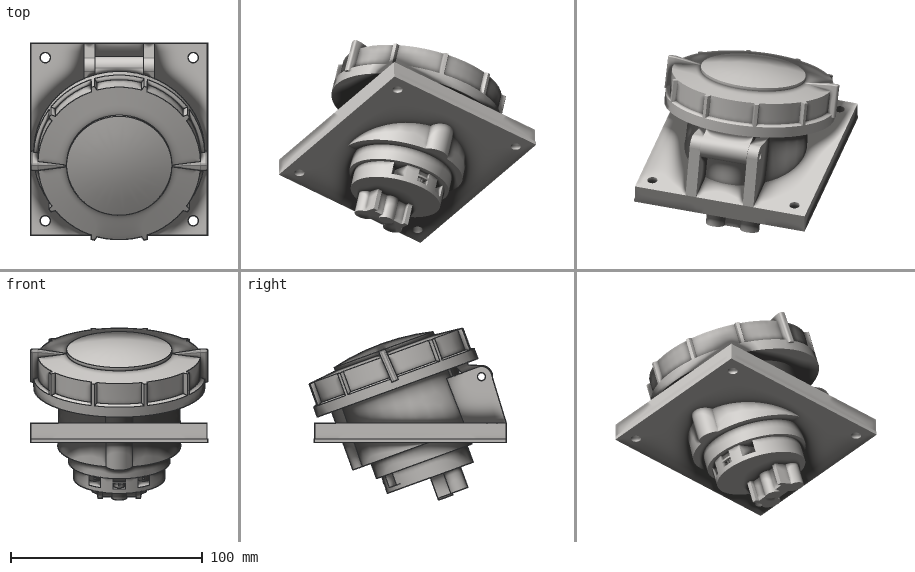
import cadquery as cq
import math


GASKET_WIDTH = 92.4
GASKET_LENGTH = 100.2
GASKET_THICKNESS = 2.0
STACK_HEIGHT = 10.1
PLATE_WIDTH = 91.9
PLATE_LENGTH = 99.9
SCREW_PITCH_X = 77.0
SCREW_PITCH_Y = 85.0
SCREW_HOLE_DIAMETER = 5.2

TILT = 20.0
AXIS_Y = -6.6
AXIS_Z = 28.5

BARREL_TOP_RADIUS = 31.4
BARREL_BOTTOM_RADIUS = 32.1
BARREL_BOTTOM = -32.3
COLLAR_RADIUS = 26.5
COLLAR_BOTTOM = -40.7
INSERT_RADIUS = 23.8
INSERT_BOTTOM = -49.8
KEY_RADIUS = 7.2
KEY_REACH = 36.6
PAD_RADIUS = 32.8
PAD_WIDTH = 29.4
PAD_BOTTOM = -31.4

FLANGE_RADIUS = 44.6
FLANGE_HEIGHT = 5.5
CAP_FOOT_HEIGHT = 6.5
CAP_RADIUS = 42.3
CAP_EDGE_HEIGHT = 17.8
DOME_RADIUS = 27.4
DOME_BASE_HEIGHT = 19.4
DOME_EDGE_HEIGHT = 21.3
DOME_TOP_HEIGHT = 24.5

GRIP_COUNT = 10
GRIP_STEP = 360.0 / GRIP_COUNT
RIB_TIP_WIDTH = 1.7
RIB_ROOT_WIDTH = 3.1
WING_REACH = GASKET_WIDTH / 2
WING_WIDTH = 3.7
WING_TIP_WIDTH = 1.2
WING_BOTTOM = 3.9
WING_TOP = 21.4
WING_ROUNDING = 1.0
RIDGE_ROUNDING = 0.5
WING_LEAN = 3.5

HINGE_Y = 43.0
HINGE_Z = -9.5
HINGE_HOLE_DIAMETER = 4.0
BRACKET_RADIUS = 5.3
BRACKET_INNER_X = 12.6
BRACKET_OUTER_X = 18.4
ARM_RADIUS = 5.9
ARM_SHOULDER_Y = 38.7
ARM_SHOULDER_Z = -1.3
ARM_FRONT_Y = 32.3
ARM_BOTTOM_Z = -11.3

WINDOW_OFFSET = 12.7
WINDOW_WIDTH = 6.2
WINDOW_FLOOR = -47.4
MIDDLE_WINDOW_WIDTH = 6.4
MIDDLE_BAR_TOP = -43.6
MIDDLE_BAR_BOTTOM = -44.5
MIDDLE_RECESS_DEPTH = 2.1
POST_RADIUS = 3.0
POST_GAP = 8.0
MIDDLE_POST_GAP = 1.7
POST_SLOT_WIDTH = 1.0
POST_SLOT_RISE = 1.0

CLAMP_BOTTOM = -61.2
CLAMP_FRONT_X = 11.1
CLAMP_BACK_X = 11.8
LOBE_RADIUS = 5.0
LOBE_X = 9.2
LOBE_Y = 11.7
CLAMP_RECESS_X = 8.7
CLAMP_RECESS_DEPTH = 2.5
STUD_RADIUS = 4.0
STUD_BOTTOM = -62.3


def block(x_min, x_max, y_min, y_max, z_min, z_max):
    """Box between opposite corners."""
    box = cq.Workplane("XY").box(x_max - x_min, y_max - y_min, z_max - z_min, centered=False)
    return box.translate((x_min, y_min, z_min))


def cylinder(radius, z_min, z_max, x=0.0, y=0.0):
    """Upright cylinder."""
    return cq.Workplane("XY").workplane(offset=z_min).center(x, y).circle(radius).extrude(z_max - z_min)


def crosswise(profile_yz, x_min, x_max):
    """Extrude closed YZ wires along X."""
    return profile_yz.extrude(x_max - x_min).translate((x_min, 0, 0))


def tilted(shape):
    """Move a shape from the tilted frame to its place over the plate."""
    return shape.rotate((0, 0, 0), (1, 0, 0), TILT).translate((0, AXIS_Y, AXIS_Z))


def in_tilted_frame(y, z):
    """Tilted-frame coordinates of a point given in the plate frame."""
    angle = math.radians(TILT)
    dy = y - AXIS_Y
    dz = z - AXIS_Z
    return dy * math.cos(angle) + dz * math.sin(angle), dz * math.cos(angle) - dy * math.sin(angle)


def slab(width, length, z_min, z_max):
    """Rectangular layer with four screw holes; all layers share their -X and +Y edges."""
    layer = block(-GASKET_WIDTH / 2, width - GASKET_WIDTH / 2,
                  GASKET_LENGTH / 2 - length, GASKET_LENGTH / 2, z_min, z_max)
    holes = (cq.Workplane("XY").workplane(offset=z_min)
             .rect(SCREW_PITCH_X, SCREW_PITCH_Y, forConstruction=True)
             .vertices().circle(SCREW_HOLE_DIAMETER / 2).extrude(z_max - z_min))
    return layer.cut(holes)


def barrel():
    """Slightly tapered housing with its two steps, the keyway rib at the front and the pad at the rear."""
    body = (cq.Workplane("XZ")
            .moveTo(0, FLANGE_HEIGHT)
            .lineTo(BARREL_TOP_RADIUS, FLANGE_HEIGHT)
            .lineTo(BARREL_TOP_RADIUS, 0)
            .lineTo(BARREL_BOTTOM_RADIUS, BARREL_BOTTOM)
            .lineTo(COLLAR_RADIUS, BARREL_BOTTOM)
            .lineTo(COLLAR_RADIUS, COLLAR_BOTTOM)
            .lineTo(INSERT_RADIUS, COLLAR_BOTTOM)
            .lineTo(INSERT_RADIUS, INSERT_BOTTOM)
            .lineTo(0, INSERT_BOTTOM)
            .close()
            .revolve(360, (0, 0, 0), (0, 1, 0)))
    key = cylinder(KEY_RADIUS, BARREL_BOTTOM, FLANGE_HEIGHT, y=KEY_RADIUS - KEY_REACH)
    half_pad = PAD_WIDTH / 2
    pad = (cylinder(PAD_RADIUS, PAD_BOTTOM, 0)
           .intersect(block(-half_pad, half_pad, 0, PAD_RADIUS, PAD_BOTTOM, 0)))
    return body.union(key).union(pad)


def terminal_window(x, width, top, post_gap):
    """Window cut into the front of the insert, leaving a slotted half-round post on its rear wall."""
    post_front_y = post_gap - math.sqrt(INSERT_RADIUS ** 2 - x ** 2)
    post_y = post_front_y + POST_RADIUS
    opening = block(x - width / 2, x + width / 2, -COLLAR_RADIUS, post_y, WINDOW_FLOOR, top)
    post = cylinder(POST_RADIUS, WINDOW_FLOOR, top, x, post_y)
    slot = block(x - POST_SLOT_WIDTH / 2, x + POST_SLOT_WIDTH / 2, post_front_y, post_y,
                 WINDOW_FLOOR + POST_SLOT_RISE, top)
    return opening.cut(post.cut(slot))


def middle_recess():
    """Shallow recess above the bar of the middle window."""
    half = MIDDLE_WINDOW_WIDTH / 2
    return block(-half, half, -COLLAR_RADIUS, -INSERT_RADIUS + MIDDLE_RECESS_DEPTH,
                 MIDDLE_BAR_TOP, COLLAR_BOTTOM)


def cable_clamp():
    """Block with two lobes at the back and a recessed front, with a stud in the recess."""
    body = (cq.Workplane("XY").workplane(offset=CLAMP_BOTTOM)
            .polyline([(-CLAMP_FRONT_X, 0),
                       (-CLAMP_BACK_X, LOBE_Y),
                       (CLAMP_BACK_X, LOBE_Y),
                       (CLAMP_FRONT_X, 0)])
            .close()
            .extrude(INSERT_BOTTOM - CLAMP_BOTTOM))
    for x in (-LOBE_X, LOBE_X):
        body = body.union(cylinder(LOBE_RADIUS, CLAMP_BOTTOM, INSERT_BOTTOM, x, LOBE_Y))
    recess = block(-CLAMP_RECESS_X, CLAMP_RECESS_X, 0, CLAMP_RECESS_DEPTH, CLAMP_BOTTOM, INSERT_BOTTOM)
    stud = cylinder(STUD_RADIUS, STUD_BOTTOM, INSERT_BOTTOM, y=STUD_RADIUS)
    return body.cut(recess).union(stud)


def lid_blank():
    """Lid at full flange radius with a conical top and raised dome, turned about the housing axis."""
    cone_slope = (CAP_EDGE_HEIGHT - DOME_BASE_HEIGHT) / (CAP_RADIUS - DOME_RADIUS)
    rim_height = DOME_BASE_HEIGHT + cone_slope * (FLANGE_RADIUS - DOME_RADIUS)
    dome_rise = DOME_TOP_HEIGHT - DOME_EDGE_HEIGHT
    sphere_radius = (DOME_RADIUS ** 2 + dome_rise ** 2) / (2 * dome_rise)
    middle_x = DOME_RADIUS / 2
    middle_z = DOME_TOP_HEIGHT - sphere_radius + math.sqrt(sphere_radius ** 2 - middle_x ** 2)
    return (cq.Workplane("XZ")
            .lineTo(FLANGE_RADIUS, 0)
            .lineTo(FLANGE_RADIUS, rim_height)
            .lineTo(DOME_RADIUS, DOME_BASE_HEIGHT)
            .lineTo(DOME_RADIUS, DOME_EDGE_HEIGHT)
            .threePointArc((middle_x, middle_z), (0, DOME_TOP_HEIGHT))
            .close()
            .revolve(360, (0, 0, 0), (0, 1, 0)))


def grip_bays():
    """Ring removed round the cap above the sloping flange top, interrupted by the tapered grip ribs."""
    ring = (cq.Workplane("XZ")
            .polyline([(CAP_RADIUS, CAP_FOOT_HEIGHT),
                       (FLANGE_RADIUS, FLANGE_HEIGHT),
                       (WING_REACH, FLANGE_HEIGHT),
                       (WING_REACH, DOME_TOP_HEIGHT),
                       (CAP_RADIUS, DOME_TOP_HEIGHT)])
            .close()
            .revolve(360, (0, 0, 0), (0, 1, 0)))
    root_radius = CAP_RADIUS - RIB_ROOT_WIDTH / 2
    rib = (cq.Workplane("XY")
           .polyline([(root_radius, -RIB_ROOT_WIDTH / 2),
                      (CAP_RADIUS, -RIB_ROOT_WIDTH / 2),
                      (FLANGE_RADIUS, -RIB_TIP_WIDTH / 2),
                      (WING_REACH, -RIB_TIP_WIDTH / 2),
                      (WING_REACH, RIB_TIP_WIDTH / 2),
                      (FLANGE_RADIUS, RIB_TIP_WIDTH / 2),
                      (CAP_RADIUS, RIB_ROOT_WIDTH / 2),
                      (root_radius, RIB_ROOT_WIDTH / 2)])
           .close()
           .extrude(DOME_TOP_HEIGHT))
    for place in range(GRIP_COUNT):
        if place % (GRIP_COUNT // 2):
            ring = ring.cut(rib.rotate((0, 0, 0), (0, 0, 1), place * GRIP_STEP))
    return ring


def grip_wing():
    """Leaning wing that stands past the flange and thins towards the dome, with a rounded ridge and end."""
    plan = (cq.Workplane("XY").workplane(offset=WING_BOTTOM)
            .polyline([(DOME_RADIUS, -WING_TIP_WIDTH / 2),
                       (CAP_RADIUS, -WING_WIDTH / 2),
                       (WING_REACH, -WING_WIDTH / 2),
                       (WING_REACH, WING_WIDTH / 2),
                       (CAP_RADIUS, WING_WIDTH / 2),
                       (DOME_RADIUS, WING_TIP_WIDTH / 2)])
            .close()
            .extrude(WING_TOP - WING_BOTTOM)
            .faces(">X").edges("|Z").fillet(WING_ROUNDING))
    above_ridge = (cq.Workplane("XZ")
                   .polyline([(DOME_RADIUS, WING_TOP),
                              (DOME_RADIUS, DOME_BASE_HEIGHT),
                              (CAP_RADIUS, WING_TOP)])
                   .close()
                   .extrude(WING_WIDTH, both=True))
    middle = (WING_BOTTOM + FLANGE_HEIGHT) / 2
    wing = plan.cut(above_ridge).edges("not(|Z or <Z or <X)").fillet(RIDGE_ROUNDING)
    return wing.rotate((0, 0, middle), (1, 0, middle), WING_LEAN)


def lid():
    """Lid with its grip ribs and the two wings."""
    wing = grip_wing()
    return lid_blank().cut(grip_bays()).union(wing).union(wing.mirror("YZ"))


def hinge_bracket(x_min):
    """Upright cheek from the plate's rear edge, rounded about the hinge hole, running into the barrel."""
    foot_y, foot_z = in_tilted_frame(GASKET_LENGTH / 2, STACK_HEIGHT)
    front_y, front_z = in_tilted_frame(AXIS_Y, STACK_HEIGHT)
    to_foot = math.atan2(foot_z - HINGE_Z, foot_y - HINGE_Y)
    distance = math.hypot(foot_z - HINGE_Z, foot_y - HINGE_Y)
    contact = to_foot + math.acos(BRACKET_RADIUS / distance)
    arc_middle = (contact + math.pi / 2) / 2

    def on_rounding(angle):
        return HINGE_Y + BRACKET_RADIUS * math.cos(angle), HINGE_Z + BRACKET_RADIUS * math.sin(angle)

    cheek_front = math.sqrt(BARREL_TOP_RADIUS ** 2 - BRACKET_OUTER_X ** 2)
    profile = (cq.Workplane("YZ")
               .moveTo(foot_y, foot_z)
               .lineTo(*on_rounding(contact))
               .threePointArc(on_rounding(arc_middle), on_rounding(math.pi / 2))
               .lineTo(cheek_front, HINGE_Z + BRACKET_RADIUS)
               .lineTo(front_y, front_z)
               .close())
    return crosswise(profile, x_min, x_min + BRACKET_OUTER_X - BRACKET_INNER_X)


def hinge_arm():
    """Lid arm between the cheeks: a knuckle round the hinge hole and a web up to the lid's lower face."""
    knuckle = cq.Workplane("YZ").center(HINGE_Y, HINGE_Z).circle(ARM_RADIUS)
    web = (cq.Workplane("YZ")
           .polyline([(HINGE_Y, HINGE_Z),
                      (HINGE_Y + ARM_RADIUS * math.sin(math.radians(TILT)),
                       HINGE_Z + ARM_RADIUS * math.cos(math.radians(TILT))),
                      (ARM_SHOULDER_Y, ARM_SHOULDER_Z),
                      (ARM_SHOULDER_Y, FLANGE_HEIGHT),
                      (ARM_FRONT_Y, FLANGE_HEIGHT),
                      (ARM_FRONT_Y, 0),
                      (HINGE_Y - ARM_RADIUS, ARM_BOTTOM_Z)])
           .close())
    return (crosswise(knuckle, -BRACKET_INNER_X, BRACKET_INNER_X)
            .union(crosswise(web, -BRACKET_INNER_X, BRACKET_INNER_X)))


def hinge():
    """Both cheeks and the lid arm, drilled through for the hinge pin."""
    shape = hinge_arm()
    for x_min in (-BRACKET_OUTER_X, BRACKET_INNER_X):
        shape = shape.union(hinge_bracket(x_min))
    drill = cq.Workplane("YZ").center(HINGE_Y, HINGE_Z).circle(HINGE_HOLE_DIAMETER / 2)
    return shape.cut(crosswise(drill, -BRACKET_OUTER_X, BRACKET_OUTER_X))


def build_socket():
    """Plate, housing, hinge and closed lid as one body."""
    core = barrel().cut(middle_recess())
    core = core.cut(terminal_window(0, MIDDLE_WINDOW_WIDTH, MIDDLE_BAR_BOTTOM, MIDDLE_POST_GAP))
    for x in (-WINDOW_OFFSET, WINDOW_OFFSET):
        core = core.cut(terminal_window(x, WINDOW_WIDTH, COLLAR_BOTTOM, POST_GAP))
    core = core.union(cable_clamp()).union(hinge()).union(lid())
    plate = slab(PLATE_WIDTH, PLATE_LENGTH, GASKET_THICKNESS, STACK_HEIGHT)
    return plate.union(tilted(core))


def build_gasket():
    """Thin layer under the plate, opened to fit round the housing."""
    return slab(GASKET_WIDTH, GASKET_LENGTH, 0, GASKET_THICKNESS).cut(tilted(barrel()))


socket = build_socket()
gasket = build_gasket()

result = cq.Compound.makeCompound([socket.solids().val(), gasket.solids().val()])